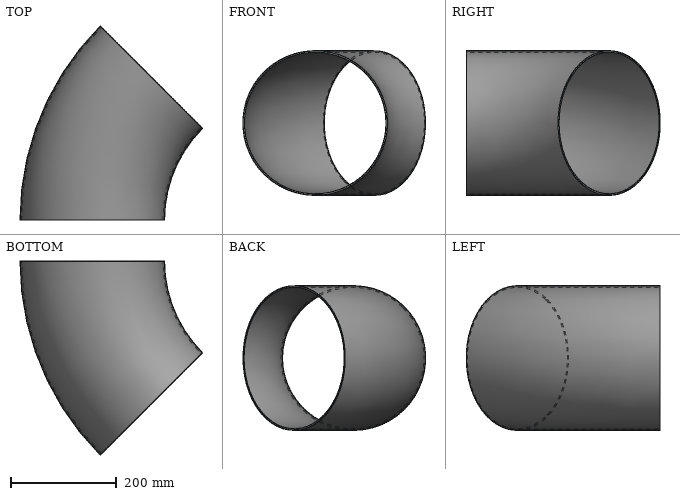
import cadquery as cq
import math

elbow_length = 366.0
pipe_diameter = 273.0
wall = 3.0
bend_angle = 45.0

pipe_radius = pipe_diameter / 2
bore_radius = pipe_radius - wall
outer_bend_radius = elbow_length / math.sin(math.radians(bend_angle))
bend_radius = outer_bend_radius - pipe_radius

inlet_ring = cq.Workplane("XZ").circle(pipe_radius).circle(bore_radius)
axis_start = (bend_radius, 3.5, 0)
axis_end = (bend_radius, 0, 0)
result = inlet_ring.revolve(bend_angle, axis_start, axis_end)